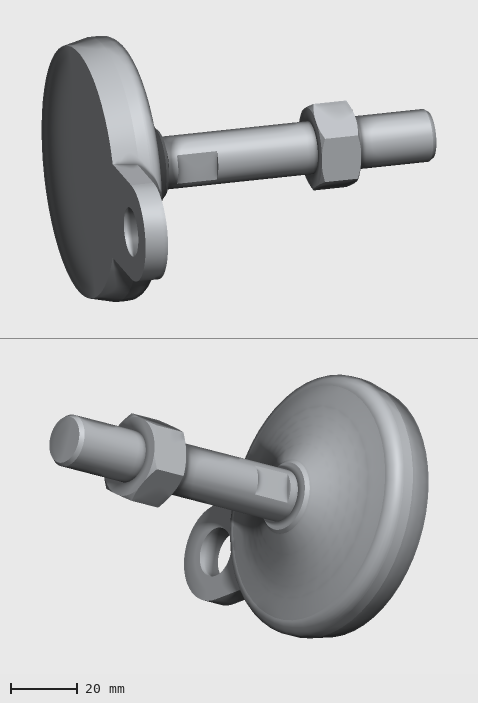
import cadquery as cq
import math

total_height = 110.0

foot_diameter = 80.0
foot_radius = foot_diameter / 2
underside_radius = 38.2
taper_height = 7.6
rim_top = 11.1
shoulder_radius = 36.0
shoulder_height = 15.1
flank_mid_radius = 21.2
flank_mid_height = 18.9
crown_radius = 11.3
crown_height = 24.1
crown_top_radius = 10.3
foot_height = 25.2
rim_round = foot_radius - shoulder_radius

lug_reach = 54.0
lug_radius = 15.0
lug_thickness = 7.0
lug_hole_diameter = 15.0

stud_diameter = 16.0
stud_start = 26.0
neck_diameter = 10.0
tip_chamfer_length = 1.3
tip_chamfer_depth = 0.9

flats_width = 13.1
flats_start = 28.8
flats_length = 12.5

nut_across_flats = 24.0
nut_start = 72.6
nut_height = 12.3
nut_face_radius = 12.1
nut_chamfer_angle = 30.0


def revolve_about_y(profile):
    return profile.close().revolve(360, (0, 0, 0), (0, 1, 0))


def cylinder_along_y(diameter, start, end):
    sketch = cq.Workplane("XZ", origin=(0, start, 0)).circle(diameter / 2)
    return sketch.extrude(start - end)


def make_foot():
    rim_mid = (
        shoulder_radius + rim_round * math.cos(math.pi / 4),
        rim_top + (shoulder_height - rim_top) * math.sin(math.pi / 4),
    )
    return revolve_about_y(
        cq.Workplane("XY")
        .lineTo(underside_radius, 0)
        .lineTo(foot_radius, taper_height)
        .lineTo(foot_radius, rim_top)
        .threePointArc(rim_mid, (shoulder_radius, shoulder_height))
        .threePointArc((flank_mid_radius, flank_mid_height), (crown_radius, crown_height))
        .lineTo(crown_top_radius, foot_height)
        .lineTo(0, foot_height)
    )


def make_lug():
    sketch = (
        cq.Workplane("XZ")
        .moveTo(0, -lug_radius)
        .lineTo(lug_reach, -lug_radius)
        .threePointArc((lug_reach + lug_radius, 0), (lug_reach, lug_radius))
        .lineTo(0, lug_radius)
        .close()
    )
    lug = sketch.extrude(-lug_thickness)
    hole = cylinder_along_y(lug_hole_diameter, 0, lug_thickness)
    return lug.cut(hole.translate((lug_reach, 0, 0)))


def make_stud():
    stud = cylinder_along_y(stud_diameter, stud_start, total_height)
    stud = stud.faces(">Y").chamfer(tip_chamfer_length, tip_chamfer_depth)
    for side in (-1, 1):
        relief = cq.Workplane("XY").box(stud_diameter, flats_length, stud_diameter)
        relief_x = side * (flats_width + stud_diameter) / 2
        relief_y = flats_start + flats_length / 2
        stud = stud.cut(relief.translate((relief_x, relief_y, 0)))
    neck = cylinder_along_y(neck_diameter, foot_height, stud_start)
    return stud.union(neck)


def make_nut():
    corner_diameter = nut_across_flats / math.cos(math.pi / 6)
    corner_radius = corner_diameter / 2
    hexagon = (
        cq.Workplane("XZ", origin=(0, nut_start, 0))
        .transformed(rotate=(0, 0, 90))
        .polygon(6, corner_diameter)
        .extrude(-nut_height)
    )
    nut_end = nut_start + nut_height
    chamfer_drop = (corner_radius - nut_face_radius) * math.tan(math.radians(nut_chamfer_angle))
    chamfer_envelope = revolve_about_y(
        cq.Workplane("XY")
        .moveTo(0, nut_start)
        .lineTo(nut_face_radius, nut_start)
        .lineTo(corner_radius, nut_start + chamfer_drop)
        .lineTo(corner_radius, nut_end - chamfer_drop)
        .lineTo(nut_face_radius, nut_end)
        .lineTo(0, nut_end)
    )
    return hexagon.intersect(chamfer_envelope)


result = make_foot().union(make_lug()).union(make_stud()).union(make_nut())